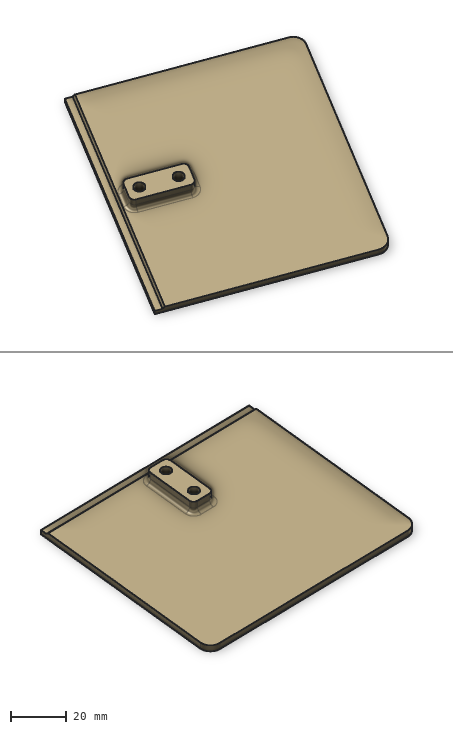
import cadquery as cq

plate_width = 102.0
plate_depth = 90.5
plate_thickness = 3.0
plate_corner_radius = 5.0

lip_depth = 3.0
lip_thickness = 2.0
slope_run = plate_thickness - lip_thickness

total_height = 8.0
boss_width = 10.0
boss_length = 25.0
boss_corner_radius = 2.0
boss_base_fillet = 2.0
boss_center_from_front = 18.8

hole_diameter = 4.4
hole_spacing = 15.0

front_y = -plate_depth / 2
boss_center_y = front_y + boss_center_from_front


def make_plate():
    """Extrude the stepped side profile across X and round the rear corners."""
    profile = [
        (front_y, 0),
        (-front_y, 0),
        (-front_y, plate_thickness),
        (front_y + lip_depth + slope_run, plate_thickness),
        (front_y + lip_depth, lip_thickness),
        (front_y, lip_thickness),
    ]
    plate = cq.Workplane("YZ").polyline(profile).close().extrude(plate_width / 2, both=True)
    return plate.edges("|Z and >Y").fillet(plate_corner_radius)


def add_boss(plate):
    """Join the rounded boss to the plate and fillet around its base."""
    boss = (
        cq.Workplane("XY")
        .center(0, boss_center_y)
        .rect(boss_width, boss_length)
        .extrude(total_height)
        .edges("|Z")
        .fillet(boss_corner_radius)
    )
    half_width = boss_width / 2 + boss_base_fillet
    half_length = boss_length / 2 + boss_base_fillet
    base_edges = cq.selectors.BoxSelector(
        (-half_width, boss_center_y - half_length, lip_thickness),
        (half_width, boss_center_y + half_length, plate_thickness + slope_run),
    )
    return plate.union(boss).edges(base_edges).fillet(boss_base_fillet)


def drill_holes(body):
    """Drill the pair of holes through boss and plate."""
    half_spacing = hole_spacing / 2
    drills = (
        cq.Workplane("XY")
        .pushPoints([(0, boss_center_y - half_spacing), (0, boss_center_y + half_spacing)])
        .circle(hole_diameter / 2)
        .extrude(total_height)
    )
    return body.cut(drills)


result = drill_holes(add_boss(make_plate()))